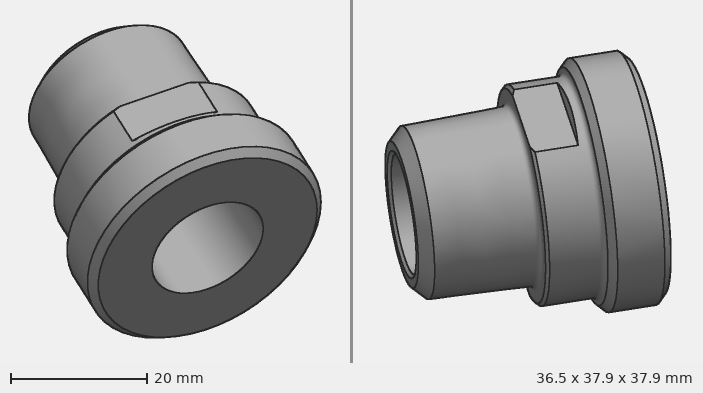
import cadquery as cq
import math


total_length = 36.5
collar_start = 18.0
flange_start = 27.0

flange_radius = 37.85 / 2
flange_chamfer = 1.2

collar_radius = 33.0 / 2
collar_chamfer = 0.5

spigot_tip_radius = 10.92
spigot_chamfer = 2.0
taper_slope = 1 / 32

neck_fillet = 0.8

bore_radius = 18.0 / 2
bore_chamfer = 0.5

across_flats = 30.0
flat_end = 25.0
flat_wall_angle = 15.0


def make_body():
    """Revolve the outer outline, given as (x, radius), around the X axis."""
    spigot_start_radius = spigot_tip_radius + spigot_chamfer
    fillet_start = collar_start - neck_fillet
    spigot_end_radius = spigot_start_radius + taper_slope * (fillet_start - spigot_chamfer)
    fillet_mid_run = neck_fillet * math.sin(math.radians(45))
    fillet_mid_rise = neck_fillet - fillet_mid_run

    outline = (
        cq.Workplane("XY")
        .moveTo(0, 0)
        .lineTo(0, spigot_tip_radius)
        .lineTo(spigot_chamfer, spigot_start_radius)
        .lineTo(fillet_start, spigot_end_radius)
        .threePointArc(
            (fillet_start + fillet_mid_run, spigot_end_radius + fillet_mid_rise),
            (collar_start, spigot_end_radius + neck_fillet),
        )
        .lineTo(collar_start, collar_radius - collar_chamfer)
        .lineTo(collar_start + collar_chamfer, collar_radius)
        .lineTo(flange_start - neck_fillet, collar_radius)
        .threePointArc(
            (flange_start - neck_fillet + fillet_mid_run, collar_radius + fillet_mid_rise),
            (flange_start, collar_radius + neck_fillet),
        )
        .lineTo(flange_start, flange_radius - flange_chamfer)
        .lineTo(flange_start + flange_chamfer, flange_radius)
        .lineTo(total_length - flange_chamfer, flange_radius)
        .lineTo(total_length, flange_radius - flange_chamfer)
        .lineTo(total_length, 0)
        .close()
    )
    return outline.revolve(360, (0, 0, 0), (1, 0, 0))


def make_bore():
    """Through bore with a chamfered mouth at the spigot tip."""
    outline = (
        cq.Workplane("XY")
        .moveTo(0, 0)
        .lineTo(0, bore_radius + bore_chamfer)
        .lineTo(bore_chamfer, bore_radius)
        .lineTo(total_length, bore_radius)
        .lineTo(total_length, 0)
        .close()
    )
    return outline.revolve(360, (0, 0, 0), (1, 0, 0))


def make_flat_cutter():
    """Block above the upper wrench flat, with a sloped end wall."""
    flat_height = across_flats / 2
    cutter_height = collar_radius - flat_height
    wall_run = cutter_height * math.tan(math.radians(flat_wall_angle))
    return (
        cq.Workplane("XZ")
        .moveTo(collar_start, flat_height)
        .lineTo(flat_end, flat_height)
        .lineTo(flat_end + wall_run, collar_radius)
        .lineTo(collar_start, collar_radius)
        .close()
        .extrude(collar_radius, both=True)
    )


result = make_body().cut(make_bore())
for flat_turn in (0, 180):
    result = result.cut(make_flat_cutter().rotate((0, 0, 0), (1, 0, 0), flat_turn))